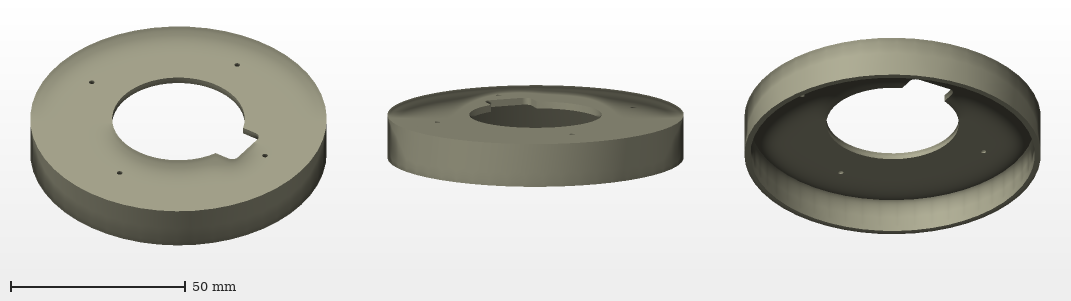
import cadquery as cq

outer_diameter = 85.0
cavity_diameter = 81.6
height = 12.5
plate_thickness = 2.0

bore_diameter = 38.0
notch_reach = 24.0
notch_width = 14.0
notch_corner_radius = 2.0

screw_hole_diameter = 1.62
screw_circle_diameter = 60.0
screw_hole_count = 4


def make_cap():
    """Disc with a downward skirt, its top plate ending at z = height."""
    body = cq.Workplane("XY").circle(outer_diameter / 2).extrude(height)
    cavity = cq.Workplane("XY").circle(cavity_diameter / 2).extrude(height - plate_thickness)
    return body.cut(cavity)


def make_opening():
    """Round bore joined with a notch whose two outer corners are rounded."""
    bore = cq.Workplane("XY").circle(bore_diameter / 2).extrude(height)
    notch = (
        cq.Workplane("XY")
        .rect(notch_reach, notch_width)
        .extrude(height)
        .translate((notch_reach / 2, 0, 0))
        .edges("|Z and >X")
        .fillet(notch_corner_radius)
    )
    return bore.union(notch)


def make_screw_holes():
    """Screw holes evenly spaced on their circle, the first one on the +X axis."""
    return (
        cq.Workplane("XY")
        .polarArray(screw_circle_diameter / 2, 0, 360, screw_hole_count)
        .circle(screw_hole_diameter / 2)
        .extrude(height)
    )


result = make_cap().cut(make_opening()).cut(make_screw_holes())